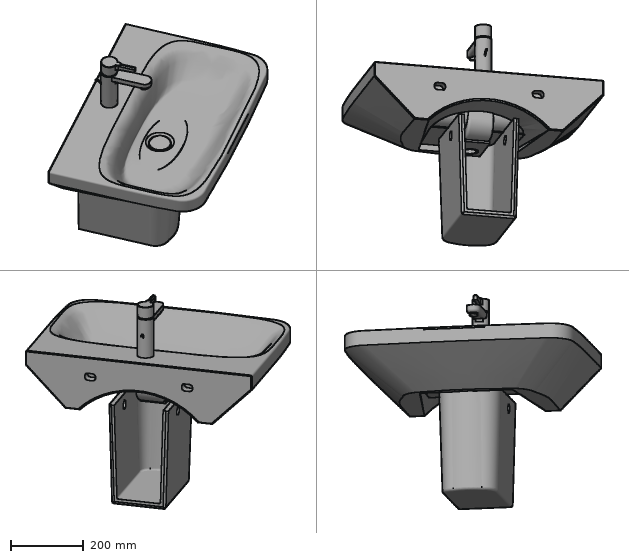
import cadquery as cq
import math


basin_length = 442.0
basin_half_width = 327.0
band_height = 42.5
side_straight = 235.0
side_bow_share = 0.25
corner_start = (369.0, 321.5)
corner_middle = (416.0, 302.0)
corner_end = (435.0, 255.0)
rim_round = 6.5
belly_back_depth = 157.5
belly_front_depth = 150.0
belly_length = 300.5
belly_half_width = 212.0
belly_straight = 131.0
belly_corner_start = (235.0, 186.0)
belly_corner_middle = (268.0, 171.0)
belly_corner_end = (287.5, 140.5)
belly_slope = (belly_back_depth - belly_front_depth) / belly_length
back_edge_chamfer = 2.5

bowl_sections = [
    (0.0, 109.0, 429.5, 315.0, 4.7),
    (5.0, 121.5, 417.0, 303.0, 4.5),
    (26.0, 139.0, 398.0, 283.0, 4.3),
    (80.5, 150.0, 345.0, 232.0, 3.4),
    (103.0, 167.0, 280.0, 121.0, 2.0),
]
bowl_depth = bowl_sections[-1][0]
points_per_section = 32

hollow_mouth = (0.0, 176.5, 157.5, 82.0)
hollow_back = (2.5, 170.5, 157.5, 86.0)
hollow_front = (274.5, 131.0, 136.0, 95.0)
below_basin = 196.0

block_top_depth = 85.0

underside_back = 91.5
underside_bend_depth = 93.5
underside_bend_radius = 36.0
underside_front = 294.0
underside_depth = 133.0

duct_back = 87.5
duct_front = 248.5
duct_half_width = 36.5
duct_bend_depth = 113.0
duct_bend_radius = 46.0
duct_bottom_depth = 165.0
duct_edge_round = 7.0

slot_spacing = 280.0
slot_length = 32.0
slot_height = 21.0
slot_depth = 26.0
slot_drop = 57.0

pedestal_top = 133.0
pedestal_bottom = 424.0
pedestal_wall = 15.0
pedestal_floor = 16.0
pedestal_top_half_width = 85.5
pedestal_bottom_half_width = 78.0
pedestal_top_length = 280.5
pedestal_bottom_length = 261.5
pedestal_side_straight = 209.0
pedestal_front_bow = 8.0
pedestal_front_half_width = 40.5
pedestal_back_bevel = 7.0
pedestal_back_bevel_length = 2.5
pedestal_foot_round = 8.0
pedestal_inner_round = 5.0
pedestal_hole_diameter = 25.0
pedestal_hole_x = 95.5
pedestal_hole_drop = 165.5

tap_x = 65.5
tap_diameter = 46.5
tap_height = 112.5
neck_diameter = 44.0
neck_height = 3.0
handle_diameter = 46.0
handle_top = 150.0
handle_edge_chamfer = 1.0
lever_tip = 140.5
lever_root = 85.0
lever_flare_end = 94.0
lever_half_width = 5.55
lever_root_half_width = 10.5
lever_height = 17.0
lever_tip_height = 14.5
lever_edge_chamfer = 4.0
spout_end = 187.5
spout_half_width = 19.0
spout_height = 20.0
spout_edge_round = 8.5
spout_haunch = 8.0

aerator_diameter = 23.0
aerator_length = 10.5
aerator_x = 169.0
aerator_bottom = 86.0
aerator_tilt = 13.0

rod_diameter = 4.0
rod_start = 25.5
rod_bend = 35.0
rod_end = 47.0
rod_height = 70.5
rod_end_height = 59.0

drain_x = 213.0
drain_diameter = 78.5
drain_seat_diameter = 63.0
drain_seat_drop = 6.5
drain_flange_thickness = 10.5
drain_tube_diameter = 46.0
drain_bore_diameter = 35.0
plug_diameter = 60.0
plug_edge_height = 4.0
plug_dome_height = 4.0


def mirrored_y(point):
    """Reflect a plan point across the middle plane."""
    return (point[0], -point[1])


def basin_outline(plane, length, half_width, straight, start, middle, end):
    """D-shaped plan outline: flat wall side, slightly bowed sides and front, round corners."""
    bow = (straight + start[0]) / 2, half_width - (half_width - start[1]) * side_bow_share
    return (
        cq.Workplane(plane)
        .moveTo(0, half_width)
        .lineTo(straight, half_width)
        .threePointArc(bow, start)
        .threePointArc(middle, end)
        .threePointArc((length, 0), mirrored_y(end))
        .threePointArc(mirrored_y(middle), mirrored_y(start))
        .threePointArc(mirrored_y(bow), (straight, -half_width))
        .lineTo(0, -half_width)
        .close()
    )


def rim_outline(depth):
    """Outline of the upright band of the basin at a given depth."""
    plane = cq.Plane(origin=(0, 0, -depth))
    return basin_outline(
        plane, basin_length, basin_half_width, side_straight, corner_start, corner_middle, corner_end
    )


def belly_outline():
    """Outline of the belly bottom, on a plane that rises slightly towards the front."""
    plane = cq.Plane(origin=(0, 0, -belly_back_depth), xDir=(1, 0, belly_slope), normal=(-belly_slope, 0, 1))
    return basin_outline(
        plane,
        belly_length,
        belly_half_width,
        belly_straight,
        belly_corner_start,
        belly_corner_middle,
        belly_corner_end,
    )


def bowl_section(depth, back, front, half_width, squareness):
    """Closed superellipse curve, from nearly rectangular to a plain ellipse."""
    centre = (back + front) / 2
    half_length = (front - back) / 2
    points = []
    for i in range(points_per_section):
        angle = 2 * math.pi * i / points_per_section
        cosine = math.cos(angle)
        sine = math.sin(angle)
        x = centre + half_length * math.copysign(abs(cosine) ** (2 / squareness), cosine)
        y = half_width * math.copysign(abs(sine) ** (2 / squareness), sine)
        points.append(cq.Vector(x, y, -depth))
    return cq.Wire.assembleEdges([cq.Edge.makeSpline(points, periodic=True)])


def make_bowl():
    """Space inside the bowl."""
    return cq.Workplane(cq.Solid.makeLoft([bowl_section(*section) for section in bowl_sections]))


def hollow_section(x, half_width, shoulder, top):
    """Arch-topped section of the hollow under the basin."""
    return (
        cq.Workplane(cq.Plane(origin=(x, 0, 0), xDir=(0, 1, 0), normal=(1, 0, 0)))
        .moveTo(-half_width, -below_basin)
        .lineTo(-half_width, -shoulder)
        .threePointArc((0, -top), (half_width, -shoulder))
        .lineTo(half_width, -below_basin)
        .close()
        .val()
    )


def make_bent_block(back, front, bend_depth, bend_radius, bottom_depth, half_width):
    """Block behind the wall face whose lower wall-side edge is one large bend."""
    bend_end = (back + bend_radius, -bend_depth - bend_radius)
    bend_offset = bend_radius * (1 - math.sqrt(0.5))
    bend_middle = (back + bend_offset, -bend_depth - bend_radius + bend_offset)
    return (
        cq.Workplane("XZ")
        .moveTo(back, -block_top_depth)
        .lineTo(back, -bend_depth)
        .threePointArc(bend_middle, bend_end)
        .lineTo(bend_end[0], -bottom_depth)
        .lineTo(front, -bottom_depth)
        .lineTo(front, -block_top_depth)
        .close()
        .extrude(half_width, both=True)
    )


def make_hollow():
    """Arched space under the basin, with the underside of the bowl left standing in it."""
    sections = [hollow_section(*section) for section in (hollow_mouth, hollow_back, hollow_front)]
    arch = cq.Workplane(cq.Solid.makeLoft(sections, True))
    return arch.cut(
        make_bent_block(
            underside_back,
            underside_front,
            underside_bend_depth,
            underside_bend_radius,
            underside_depth,
            basin_half_width,
        )
    )


def make_duct():
    """Drain duct with rounded edges beside its wall-side face."""
    duct = make_bent_block(
        duct_back, duct_front, duct_bend_depth, duct_bend_radius, duct_bottom_depth, duct_half_width
    )
    return duct.faces("<X").edges("|Z").fillet(duct_edge_round)


def make_slots():
    """Two long mounting slots, cut from the wall face."""
    return (
        cq.Workplane(cq.Plane(origin=(0, 0, -slot_drop), xDir=(0, 1, 0), normal=(1, 0, 0)))
        .pushPoints([(-slot_spacing / 2, 0), (slot_spacing / 2, 0)])
        .slot2D(slot_length, slot_height)
        .extrude(slot_depth)
    )


def drain_profile(inner):
    """Half section of the drain fitting, or of the hole for it when its inside is left filled."""
    flange_r = drain_diameter / 2
    tube_r = drain_tube_diameter / 2
    flange_under = -bowl_depth - drain_flange_thickness
    outside = [
        (flange_r, -bowl_depth),
        (flange_r, flange_under),
        (tube_r, flange_under),
        (tube_r, -duct_bottom_depth),
    ]
    if not inner:
        return outside + [(0, -duct_bottom_depth), (0, -bowl_depth)]
    bore_r = drain_bore_diameter / 2
    seat_z = -bowl_depth - drain_seat_drop
    return outside + [(bore_r, -duct_bottom_depth), (bore_r, seat_z), (drain_seat_diameter / 2, seat_z)]


def make_drain_solid(inner):
    """Turn the drain profile about the drain axis."""
    plane = cq.Plane(origin=(drain_x, 0, 0), xDir=(1, 0, 0), normal=(0, -1, 0))
    return cq.Workplane(plane).polyline(drain_profile(inner)).close().revolve(360, (0, 0), (0, 1))


def make_basin():
    """Basin with its bowl, belly, arched hollow, drain duct and mounting slots."""
    band = rim_outline(0).extrude(-band_height)
    belly = cq.Workplane(cq.Solid.makeLoft([rim_outline(band_height).val(), belly_outline().val()], True))
    shell = band.union(belly).faces("<X").edges().chamfer(back_edge_chamfer)
    shell = shell.faces(">Z").edges("not <X").fillet(rim_round).cut(make_hollow())
    return shell.union(make_duct()).cut(make_bowl()).cut(make_slots()).cut(make_drain_solid(False))


def pedestal_outline(depth, half_width, length):
    """Plan outline of the pedestal: straight sides, round corners and a bowed front."""
    corner_x = length - pedestal_front_bow - pedestal_side_straight
    corner_y = half_width - pedestal_front_half_width
    middle = (
        pedestal_side_straight + corner_x * math.sqrt(0.5),
        pedestal_front_half_width + corner_y * math.sqrt(0.5),
    )
    start = (pedestal_side_straight, half_width)
    end = (length - pedestal_front_bow, pedestal_front_half_width)
    return (
        cq.Workplane(cq.Plane(origin=(0, 0, -depth)))
        .moveTo(0, half_width)
        .lineTo(*start)
        .threePointArc(middle, end)
        .threePointArc((length, 0), mirrored_y(end))
        .threePointArc(mirrored_y(middle), mirrored_y(start))
        .lineTo(0, -half_width)
        .close()
        .val()
    )


def pedestal_loft(bottom, inset):
    """Tapering pedestal shape, drawn in from the outside by the inset."""
    top_outline = pedestal_outline(
        pedestal_top, pedestal_top_half_width - inset, pedestal_top_length - inset
    )
    bottom_outline = pedestal_outline(
        bottom, pedestal_bottom_half_width - inset, pedestal_bottom_length - inset
    )
    return cq.Workplane(cq.Solid.makeLoft([top_outline, bottom_outline], True))


def back_bevel_section(x):
    """Cross section of the bevelling block, opening out along the bevel with the distance from the wall."""
    outset = pedestal_back_bevel * (x / pedestal_back_bevel_length - 1)
    top_y = pedestal_top_half_width + outset
    bottom_y = pedestal_bottom_half_width + outset
    top_z = -pedestal_top
    bottom_z = -pedestal_bottom - outset
    return (
        cq.Workplane(cq.Plane(origin=(x, 0, 0), xDir=(0, 1, 0), normal=(1, 0, 0)))
        .polyline([(-top_y, top_z), (-bottom_y, bottom_z), (bottom_y, bottom_z), (top_y, top_z)])
        .close()
        .val()
    )


def make_back_bevel():
    """Flaring block that bevels the side and foot edges of the pedestal at the wall."""
    sections = [back_bevel_section(0), back_bevel_section(pedestal_top_length)]
    return cq.Workplane(cq.Solid.makeLoft(sections, True))


def make_pedestal(basin):
    """Pedestal, open to the wall and at the top, fitted against the underside of the basin."""
    outside = pedestal_loft(pedestal_bottom, 0)
    outside = outside.faces("<Z").edges("not <X").fillet(pedestal_foot_round)
    outside = outside.intersect(make_back_bevel())
    inside = pedestal_loft(pedestal_bottom - pedestal_floor, pedestal_wall)
    inside = inside.faces("<Z").edges("not <X").fillet(pedestal_inner_round)
    side_holes = (
        cq.Workplane("XZ")
        .center(pedestal_hole_x, -pedestal_hole_drop)
        .circle(pedestal_hole_diameter / 2)
        .extrude(pedestal_top_half_width, both=True)
    )
    return outside.cut(inside).cut(side_holes).cut(basin)


def make_aerator():
    """Round outlet insert, tilted forward under the spout tip."""
    tilt = math.radians(aerator_tilt)
    axis = (-math.sin(tilt), 0, math.cos(tilt))
    plane = cq.Plane(origin=(aerator_x, 0, aerator_bottom), xDir=(0, 1, 0), normal=axis)
    return cq.Workplane(plane).circle(aerator_diameter / 2).extrude(aerator_length)


def make_lift_rod():
    """Thin lift rod, bent down into the back of the tap."""
    path = (
        cq.Workplane("XZ")
        .moveTo(rod_start, rod_height)
        .lineTo(rod_bend, rod_height)
        .lineTo(rod_end, rod_end_height)
    )
    return (
        cq.Workplane("YZ", origin=(rod_start, 0, rod_height))
        .circle(rod_diameter / 2)
        .sweep(path, transition="right")
    )


def make_spout():
    """Flat spout with a round end and rounded lower edges."""
    tip_centre = spout_end - spout_half_width
    return (
        cq.Workplane("XY", origin=(0, 0, tap_height - spout_height))
        .moveTo(tap_x, -spout_half_width)
        .lineTo(tip_centre, -spout_half_width)
        .threePointArc((spout_end, 0), (tip_centre, spout_half_width))
        .lineTo(tap_x, spout_half_width)
        .close()
        .extrude(spout_height)
        .faces("<Z")
        .edges("not <X")
        .fillet(spout_edge_round)
    )


def make_spout_haunch():
    """Small wedge that stiffens the joint under the spout."""
    tap_front = tap_x + tap_diameter / 2
    spout_under = tap_height - spout_height
    haunch_half_width = spout_half_width - spout_edge_round
    return (
        cq.Workplane("XZ")
        .moveTo(tap_x, spout_under)
        .lineTo(tap_front + spout_haunch / 2, spout_under)
        .lineTo(tap_front, spout_under - spout_haunch)
        .lineTo(tap_x, spout_under - spout_haunch)
        .close()
        .extrude(haunch_half_width, both=True)
    )


def make_tap(aerator, lift_rod):
    """Tap column with a neck on top, its spout, and seats for the outlet insert and the rod."""
    column = cq.Workplane("XY").center(tap_x, 0).circle(tap_diameter / 2).extrude(tap_height)
    neck = column.faces(">Z").workplane().circle(neck_diameter / 2).extrude(neck_height)
    return neck.union(make_spout()).union(make_spout_haunch()).cut(aerator).cut(lift_rod)


def make_lever():
    """Slim lever that flares at its root, thins at its tip and has bevelled top edges."""
    plan = [
        (tap_x, lever_root_half_width),
        (lever_root, lever_root_half_width),
        (lever_flare_end, lever_half_width),
        (lever_tip, lever_half_width),
    ]
    plan += [mirrored_y(point) for point in reversed(plan)]
    bar = cq.Workplane("XY", origin=(0, 0, handle_top)).polyline(plan).close().extrude(-lever_height)
    bar = bar.faces(">Z").edges("|X").chamfer(lever_edge_chamfer)
    tip_relief = (
        cq.Workplane("XZ")
        .moveTo(lever_flare_end, handle_top - lever_height)
        .lineTo(lever_tip, handle_top - lever_height)
        .lineTo(lever_tip, handle_top - lever_tip_height)
        .close()
        .extrude(lever_root_half_width, both=True)
    )
    return bar.cut(tip_relief)


def make_handle():
    """Round handle cap with its lever, resting on the neck of the tap."""
    cap_bottom = tap_height + neck_height
    cap = (
        cq.Workplane("XY", origin=(tap_x, 0, cap_bottom))
        .circle(handle_diameter / 2)
        .extrude(handle_top - cap_bottom)
        .faces(">Z")
        .edges()
        .chamfer(handle_edge_chamfer)
    )
    return cap.union(make_lever())


def make_plug():
    """Domed plug resting on the drain seat."""
    seat_z = -bowl_depth - drain_seat_drop
    edge_z = seat_z + plug_edge_height
    radius = plug_diameter / 2
    dome_radius = (radius**2 + plug_dome_height**2) / (2 * plug_dome_height)
    half_angle = math.asin(radius / dome_radius) / 2
    dome_drop = dome_radius * (1 - math.cos(half_angle))
    dome_top = edge_z + plug_dome_height
    plane = cq.Plane(origin=(drain_x, 0, 0), xDir=(1, 0, 0), normal=(0, -1, 0))
    return (
        cq.Workplane(plane)
        .moveTo(0, seat_z)
        .lineTo(radius, seat_z)
        .lineTo(radius, edge_z)
        .threePointArc((dome_radius * math.sin(half_angle), dome_top - dome_drop), (0, dome_top))
        .close()
        .revolve(360, (0, 0), (0, 1))
    )


basin = make_basin()
pedestal = make_pedestal(basin)
aerator = make_aerator()
lift_rod = make_lift_rod()
tap = make_tap(aerator, lift_rod)
handle = make_handle()
drain = make_drain_solid(True)
plug = make_plug()

bodies = [basin, pedestal, tap, handle, aerator, lift_rod, drain, plug]
result = cq.Compound.makeCompound([body.val() for body in bodies])